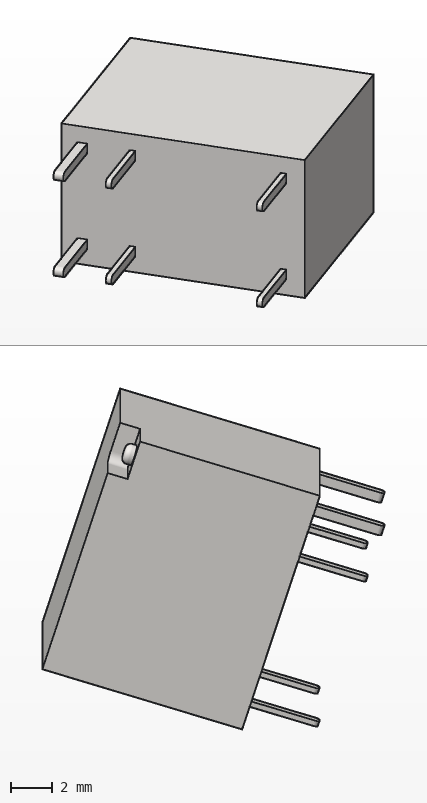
import cadquery as cq

total_length = 13.5
body_width = 12.3
body_length = 10.0
body_height = 7.3

pin_length = total_length - body_length
pin_thickness = 0.5
pin_tip_radius = 0.24
row_spacing = 5.08
wide_pin_width = 0.5
narrow_pin_width = 0.28
outer_pin_spacing = 10.17
inner_pin_spacing = 2.54

notch_size = 1.97
notch_depth = 1.0
notch_corner_radius = 0.49

peg_diameter = 1.0
peg_height = 0.5
peg_edge_radius = 0.27
peg_side_inset = notch_size / 2
peg_bottom_inset = 0.77

left_side = -body_width / 2
bottom_side = -body_height / 2
notch_floor = body_length - notch_depth


def make_body():
    return cq.Workplane("XY").box(body_width, body_length, body_height, centered=(True, False, True))


def make_notch():
    """Square corner cutter whose inner corner is rounded."""
    return (
        cq.Workplane("XY")
        .box(notch_size, notch_depth, notch_size, centered=False)
        .edges("|Y and >X and >Z")
        .fillet(notch_corner_radius)
        .translate((left_side, notch_floor, bottom_side))
    )


def make_peg():
    """Peg along +Y with a rounded outer rim, sunk into the body below the notch floor."""
    sunk_depth = peg_height
    peg_x = left_side + peg_side_inset
    peg_z = bottom_side + peg_bottom_inset
    return (
        cq.Workplane("XZ")
        .circle(peg_diameter / 2)
        .extrude(-(peg_height + sunk_depth))
        .faces(">Y")
        .edges()
        .fillet(peg_edge_radius)
        .translate((peg_x, notch_floor - sunk_depth, peg_z))
    )


def make_pin(x_center, z_center, width):
    """Flat-sided pin with an almost fully rounded tip, starting inside the body."""
    root_depth = pin_thickness
    return (
        cq.Workplane("XY")
        .box(width, pin_length + root_depth, pin_thickness, centered=(True, False, True))
        .faces("<Y")
        .edges("|X")
        .fillet(pin_tip_radius)
        .translate((x_center, -pin_length, z_center))
    )


first_pin_x = -outer_pin_spacing / 2
pin_columns = [
    (first_pin_x, wide_pin_width),
    (first_pin_x + inner_pin_spacing, narrow_pin_width),
    (first_pin_x + outer_pin_spacing, narrow_pin_width),
]

result = make_body().cut(make_notch()).union(make_peg())
for pin_x, pin_width in pin_columns:
    for pin_z in (-row_spacing / 2, row_spacing / 2):
        result = result.union(make_pin(pin_x, pin_z, pin_width))